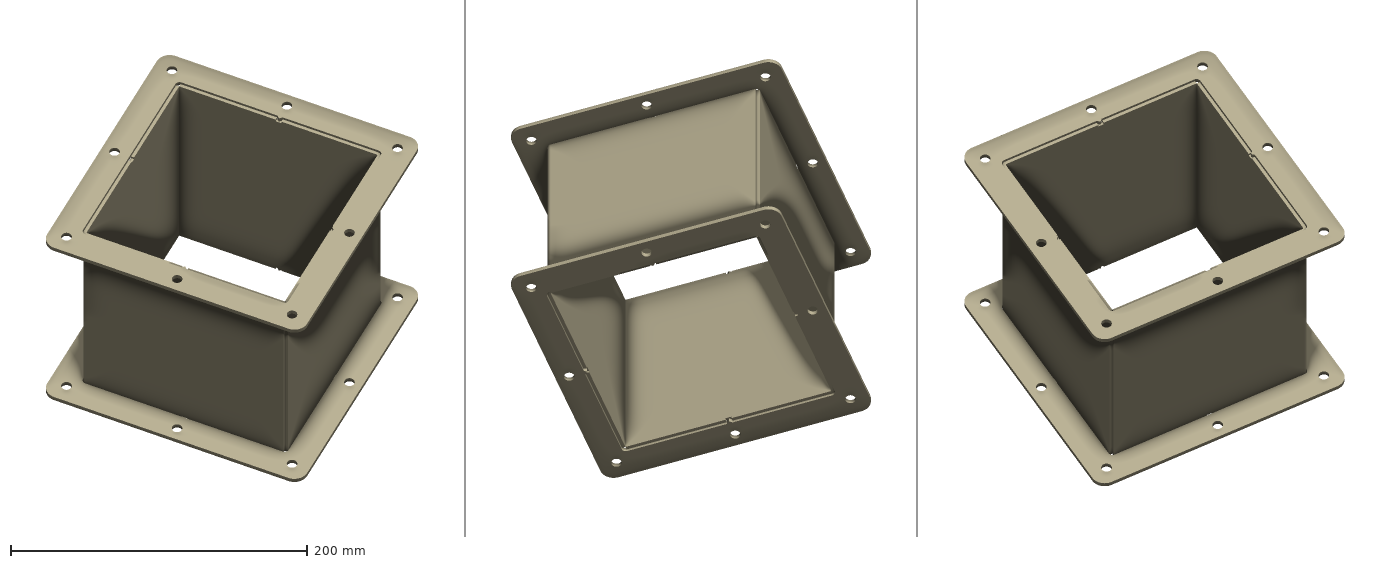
import cadquery as cq

flange_size = 193.7
duct_height = 152.5

flange_thickness = 3.1
flange_corner_radius = 9.5
hole_diameter = 7.2
side_hole_edge_distance = 9.3
corner_hole_edge_distance = 12.8
side_hole_count = 4

duct_width = 152.6
sheet_thickness = 2.3
inner_bend_radius = 0.8
sheet_recess = 1.5

opening_clearance = 0.5
opening_width = duct_width + opening_clearance
opening_corner_radius = 3.1
tab_half_width = 2.0
tab_depth = 2.0
tab_angles = [90, 180, 270]
notch_width = 4.3

outer_bend_radius = inner_bend_radius + sheet_thickness
duct_half = duct_width / 2
opening_half = opening_width / 2
leg_end = duct_half - sheet_thickness
sheet_height = duct_height - 2 * sheet_recess
notch_depth = flange_thickness - sheet_recess
side_hole_offset = flange_size / 2 - side_hole_edge_distance
corner_hole_offset = flange_size / 2 - corner_hole_edge_distance


def locating_tab():
    """Inward-pointing tab drawn at angle zero, on -X; its root lies inside the flange plate."""
    root_x = -opening_half - tab_depth
    return (
        cq.Workplane("XY")
        .moveTo(-opening_half + tab_depth, 0)
        .lineTo(-opening_half, tab_half_width)
        .lineTo(root_x, tab_half_width)
        .lineTo(root_x, -tab_half_width)
        .lineTo(-opening_half, -tab_half_width)
        .close()
        .extrude(flange_thickness)
    )


def make_flange(bottom_z):
    """Square flange plate with a three-tab opening and eight bolt holes."""
    flange = (
        cq.Workplane("XY")
        .rect(flange_size, flange_size)
        .extrude(flange_thickness)
        .edges("|Z")
        .fillet(flange_corner_radius)
    )
    opening = (
        cq.Workplane("XY")
        .rect(opening_width, opening_width)
        .extrude(flange_thickness)
        .edges("|Z")
        .fillet(opening_corner_radius)
    )
    flange = flange.cut(opening)

    for angle in tab_angles:
        flange = flange.union(locating_tab().rotate((0, 0, 0), (0, 0, 1), angle))

    side_holes = (
        cq.Workplane("XY")
        .polarArray(side_hole_offset, 0, 360, side_hole_count)
        .circle(hole_diameter / 2)
        .extrude(flange_thickness)
    )
    corner_holes = (
        cq.Workplane("XY")
        .rect(2 * corner_hole_offset, 2 * corner_hole_offset, forConstruction=True)
        .vertices()
        .circle(hole_diameter / 2)
        .extrude(flange_thickness)
    )
    return flange.cut(side_holes).cut(corner_holes).translate((0, 0, bottom_z))


def make_sheet(angle):
    """L-shaped sheet with its bend at (-X, -Y), turned about Z by the angle."""
    inner_face = -duct_half + sheet_thickness
    sheet = (
        cq.Workplane("XY")
        .workplane(offset=sheet_recess)
        .moveTo(-duct_half, leg_end)
        .lineTo(-duct_half, -duct_half)
        .lineTo(leg_end, -duct_half)
        .lineTo(leg_end, inner_face)
        .lineTo(inner_face, inner_face)
        .lineTo(inner_face, leg_end)
        .close()
        .extrude(sheet_height)
    )
    mid_height = duct_height / 2
    outer_bend = cq.NearestToPointSelector((-duct_half, -duct_half, mid_height))
    inner_bend = cq.NearestToPointSelector((inner_face, inner_face, mid_height))
    sheet = sheet.edges(outer_bend).fillet(outer_bend_radius)
    sheet = sheet.edges(inner_bend).fillet(inner_bend_radius)

    leg_middle = -duct_half + sheet_thickness / 2
    bottom_notch_z = sheet_recess + notch_depth / 2
    for notch_z in (bottom_notch_z, duct_height - bottom_notch_z):
        left_notch = cq.Workplane("XY").box(sheet_thickness, notch_width, notch_depth)
        front_notch = cq.Workplane("XY").box(notch_width, sheet_thickness, notch_depth)
        sheet = sheet.cut(left_notch.translate((leg_middle, 0, notch_z)))
        sheet = sheet.cut(front_notch.translate((0, leg_middle, notch_z)))
    return sheet.rotate((0, 0, 0), (0, 0, 1), angle)


flanges = [make_flange(bottom_z) for bottom_z in (0, duct_height - flange_thickness)]
sheets = [make_sheet(angle) for angle in (0, 180)]

result = cq.Compound.makeCompound([body.val() for body in flanges + sheets])